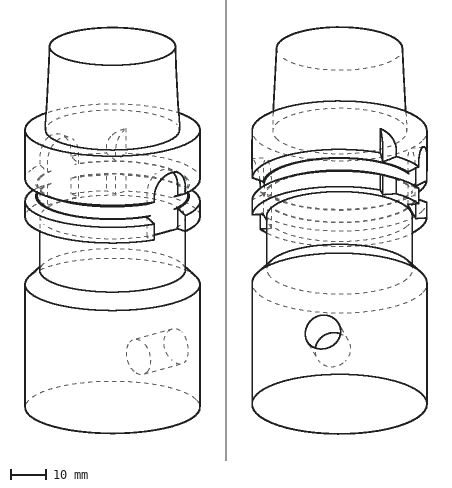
import cadquery as cq

body_dia = 50.0
overall_length = 108.0

taper_length = 25.0
taper_top_dia = 36.0
taper_base_dia = 38.3
taper_relief_height = 2.0

flange_thickness = 26.0
groove_center_z = -18.0
groove_floor_dia = 43.0
groove_floor_width = 3.75
groove_mouth_width = 6.6
groove_ledge_width = 0.4

neck_dia = 41.6
neck_bottom_z = -42.0

slot_width = 12.0
slot_top_z = -7.0
drive_slot_floor_x = 21.0

notch_center_y = 21.5
notch_floor_x = 15.7

screw_hole_dia = 10.3
screw_hole_depth = 15.0
screw_hole_z = -70.0

body_radius = body_dia / 2
neck_radius = neck_dia / 2
groove_floor_radius = groove_floor_dia / 2
groove_ledge_radius = groove_floor_radius + groove_ledge_width
groove_floor_low_z = groove_center_z - groove_floor_width / 2
groove_floor_high_z = groove_center_z + groove_floor_width / 2
body_bottom_z = taper_length - overall_length
shoulder_height = body_radius - neck_radius


def make_turned_body():
    """Revolve the half outline (radius, height) about Z."""
    outline = [
        (0, body_bottom_z),
        (body_radius, body_bottom_z),
        (body_radius, neck_bottom_z - shoulder_height),
        (neck_radius, neck_bottom_z),
        (neck_radius, -flange_thickness),
        (body_radius, -flange_thickness),
        (body_radius, groove_center_z - groove_mouth_width / 2),
        (groove_ledge_radius, groove_floor_low_z),
        (groove_floor_radius, groove_floor_low_z),
        (groove_floor_radius, groove_floor_high_z),
        (groove_ledge_radius, groove_floor_high_z),
        (body_radius, groove_center_z + groove_mouth_width / 2),
        (body_radius, 0),
        (taper_base_dia / 2, 0),
        (taper_base_dia / 2, taper_relief_height),
        (taper_top_dia / 2, taper_length),
        (0, taper_length),
    ]
    return cq.Workplane("XZ").polyline(outline).close().revolve(360, (0, 0, 0), (0, 1, 0))


def make_slot_cutter(center_y, floor_x):
    """Round-topped cutter on the -X side, from its floor out past the flange."""
    half_width = slot_width / 2
    spring_z = slot_top_z - half_width
    return (
        cq.Workplane("YZ", origin=(-floor_x, center_y, 0))
        .moveTo(-half_width, -flange_thickness)
        .lineTo(-half_width, spring_z)
        .threePointArc((0, slot_top_z), (half_width, spring_z))
        .lineTo(half_width, -flange_thickness)
        .close()
        .extrude(-body_radius)
    )


def make_screw_hole_cutter():
    """Blind radial hole entering from the +Y side."""
    hole_bottom_y = body_radius - screw_hole_depth
    return (
        cq.Workplane("XZ", origin=(0, hole_bottom_y, screw_hole_z))
        .circle(screw_hole_dia / 2)
        .extrude(-body_radius)
    )


result = make_turned_body()

drive_slot = make_slot_cutter(0, drive_slot_floor_x)
for angle in (0, 180):
    result = result.cut(drive_slot.rotate((0, 0, 0), (0, 0, 1), angle))

result = result.cut(make_slot_cutter(notch_center_y, notch_floor_x))

result = result.cut(make_screw_hole_cutter())